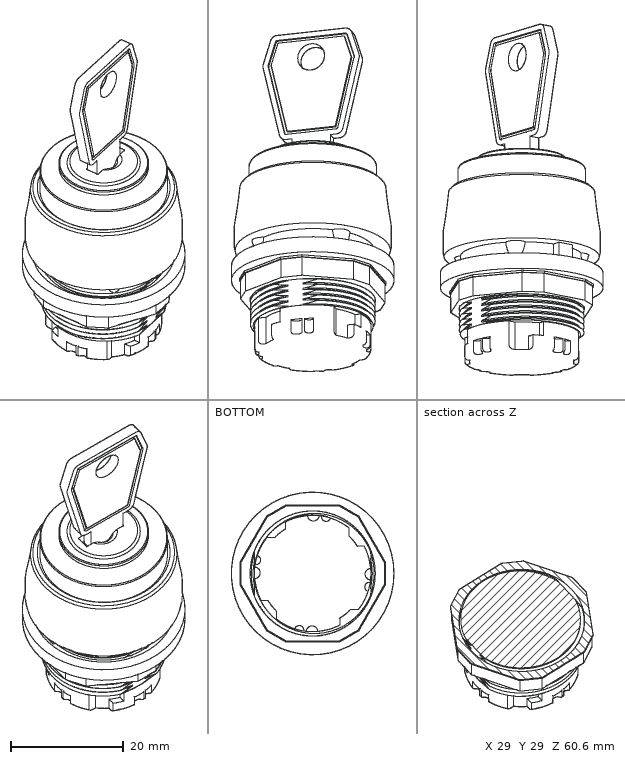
import cadquery as cq
import math

THREAD_BOTTOM = 5.05
HEX_BOTTOM = 9.75
HEX_COLLAR_BOTTOM = 13.2
FLANGE_BOTTOM = 13.6
THREAD_TOP = 15.15
NECK_BOTTOM = 16.05
FLANGE_TOP = 16.4
BEZEL_BOTTOM = 19.35
BEZEL_TOP = 31.6
KNOB_SHOULDER = 35.35
PLUG_TOP = 37.6
KEY_TOP = 60.6

BASE_DIAMETER = 20.7
BASE_FILLET = 0.65
RELIEF_DIAMETER = 21.2
NECK_DIAMETER = 21.9
BEZEL_DIAMETER = 28.0
BEZEL_BAND_TOP = 23.9
BEZEL_EDGE_HEIGHT = 0.8
BEZEL_EDGE_INSET = 0.2
BEZEL_MID_DIAMETER = 26.85
BEZEL_MID_HEIGHT = 27.65
BEZEL_RIM_DIAMETER = 26.05
BEZEL_RIM_CHAMFER = 0.4
BEZEL_LIP_DIAMETER = 23.65
KNOB_DIAMETER = 22.7
KNOB_EDGE_DIAMETER = 22.4
KNOB_EDGE_HEIGHT = 0.25
RING_DIAMETER = 16.0
RING_BOTTOM = 36.4
RING_TOP = 37.3
RING_CHAMFER = 0.2
PLUG_DIAMETER = 13.05
PLUG_FACE_DIAMETER = 12.05

THREAD_DIAMETER = 22.25
THREAD_TURNS = 10
THREAD_PITCH = (THREAD_TOP - THREAD_BOTTOM) / THREAD_TURNS
THREAD_ROOT_DIAMETER = 20.9
THREAD_RIDGE_WIDTH = 0.85
THREAD_ROOT_OVERLAP = 0.05

GUSSET_COUNT = 4
GUSSET_RADIUS = 1.95
GUSSET_TILT = 19
GUSSET_TIP = 16.25
LUG_REACH = 12.4
LUG_WIDTH = 3.05
LUG_BOTTOM = 16.7

SIDES = 4
SLOT_FLOOR_DIAMETER = 18.6
SLOT_WALL_Y = -6.4
SLOT_MOUTH_END_X = -4.85
SLOT_LEG_END_X = -3.05
STEP_HEIGHT = 2.5
SCOOP_SPANS = [(-0.9, 1.15), (1.6, 3.2)]

KEYHOLE_Y = 0.6
KEYHOLE_WIDTH = 2.5
KEYHOLE_LENGTH = 8.25
KEYHOLE_DEPTH = 1.8
DISH_DIAMETER = 5.8
DISH_EDGE_DIAMETER = 4.3
DISH_EDGE_DEPTH = 0.35
DISH_FLOOR_DIAMETER = 2.4

KEY_THICKNESS = 2.05
BOW_TOP_HALF = 7.3
BOW_WIDE_HALF = 9.05
BOW_WIDE_HEIGHT = 55.05
BOW_BOTTOM_HALF = 5.7
BOW_BOTTOM = 40.6
BOW_CORNER_RADIUS = 1.35
BLADE_WIDTH = 7.15
KEY_HOLE_DIAMETER = 5.0
KEY_HOLE_HEIGHT = 55.8
GROOVE_INSET = 1.0
GROOVE_WIDTH = 0.55
GROOVE_DEPTH = 0.4

FLANGE_DIAMETER = 29.0
RECESS_DIAMETER = 25.35
RECESS_DEPTH = 1.2
HEX_FLATS = 24.05
HEX_CORNER_FLATS = 25.5
HEX_COLLAR_STEP = 0.2
NUT_BORE_DIAMETER = 22.3


def cylinder(diameter, bottom, top):
    return cq.Workplane("XY").workplane(offset=bottom).circle(diameter / 2).extrude(top - bottom)


def turned_body():
    """Base, neck, bezel, knob, ring and lock plug as one turned profile."""
    base_r = BASE_DIAMETER / 2
    relief_r = RELIEF_DIAMETER / 2
    neck_r = NECK_DIAMETER / 2
    bezel_r = BEZEL_DIAMETER / 2
    rim_r = BEZEL_RIM_DIAMETER / 2
    lip_r = BEZEL_LIP_DIAMETER / 2
    knob_r = KNOB_DIAMETER / 2
    ring_r = RING_DIAMETER / 2
    plug_r = PLUG_DIAMETER / 2
    profile = (
        cq.Workplane("XZ")
        .moveTo(0, 0)
        .lineTo(base_r, 0)
        .lineTo(base_r, THREAD_TOP)
        .lineTo(relief_r, THREAD_TOP)
        .lineTo(relief_r, NECK_BOTTOM)
        .lineTo(neck_r, NECK_BOTTOM)
        .lineTo(neck_r, BEZEL_BOTTOM)
        .lineTo(bezel_r - BEZEL_EDGE_INSET, BEZEL_BOTTOM)
        .lineTo(bezel_r, BEZEL_BOTTOM + BEZEL_EDGE_HEIGHT)
        .lineTo(bezel_r, BEZEL_BAND_TOP)
        .threePointArc((BEZEL_MID_DIAMETER / 2, BEZEL_MID_HEIGHT), (rim_r, BEZEL_TOP - BEZEL_RIM_CHAMFER))
        .lineTo(rim_r - BEZEL_RIM_CHAMFER, BEZEL_TOP)
        .lineTo(lip_r, BEZEL_TOP)
        .lineTo(knob_r, BEZEL_TOP - (lip_r - knob_r))
        .lineTo(knob_r, KNOB_SHOULDER)
        .lineTo(KNOB_EDGE_DIAMETER / 2, KNOB_SHOULDER + KNOB_EDGE_HEIGHT)
        .lineTo(ring_r, RING_BOTTOM)
        .lineTo(ring_r, RING_TOP - RING_CHAMFER)
        .lineTo(ring_r - RING_CHAMFER, RING_TOP)
        .lineTo(plug_r, RING_TOP)
        .lineTo(PLUG_FACE_DIAMETER / 2, PLUG_TOP)
        .lineTo(0, PLUG_TOP)
        .close()
    )
    body = profile.revolve(360, (0, 0, 0), (0, 1, 0))
    return body.faces("<Z").edges().fillet(BASE_FILLET)


def thread():
    """Threaded sleeve around the base, flattened on both X sides to the base width."""
    root_r = THREAD_ROOT_DIAMETER / 2 - THREAD_ROOT_OVERLAP
    crest_r = THREAD_DIAMETER / 2
    half_ridge = THREAD_RIDGE_WIDTH / 2
    height = THREAD_TOP - THREAD_BOTTOM
    start = THREAD_BOTTOM - THREAD_PITCH
    helix = cq.Wire.makeHelix(THREAD_PITCH, height + 2 * THREAD_PITCH, root_r, center=cq.Vector(0, 0, start))
    ridge = (
        cq.Workplane("XZ")
        .polyline([(root_r, start - half_ridge), (crest_r, start), (root_r, start + half_ridge)])
        .close()
        .sweep(cq.Workplane(obj=helix), isFrenet=True)
    )
    band = cq.Workplane("XY").workplane(offset=THREAD_BOTTOM)
    band = band.rect(BASE_DIAMETER, 2 * THREAD_DIAMETER).extrude(height)
    core = cylinder(THREAD_ROOT_DIAMETER, THREAD_BOTTOM, THREAD_TOP)
    return core.union(ridge.intersect(band)).intersect(band)


def gussets():
    """Round gussets that lean out of the foot of the neck into the underside of the bezel."""
    tilt = math.radians(GUSSET_TILT)
    tip_reach = NECK_DIAMETER / 2 - GUSSET_RADIUS / math.cos(tilt)
    start_height = NECK_BOTTOM - GUSSET_RADIUS
    start_reach = tip_reach - (GUSSET_TIP - start_height) * math.tan(tilt)
    bars = cq.Workplane("XY")
    for index in range(GUSSET_COUNT):
        angle = math.radians(45 + index * 360 / GUSSET_COUNT)
        start = cq.Vector(start_reach * math.cos(angle), start_reach * math.sin(angle), start_height)
        lean = math.sin(tilt)
        axis = cq.Vector(lean * math.cos(angle), lean * math.sin(angle), math.cos(tilt))
        bars = bars.add(cq.Solid.makeCylinder(GUSSET_RADIUS, BEZEL_BAND_TOP - start_height, start, axis))
    neck_band = cylinder(BEZEL_DIAMETER, NECK_BOTTOM, BEZEL_BOTTOM)
    return bars.combine().intersect(neck_band)


def locating_lug():
    lug = cq.Workplane("XY").workplane(offset=LUG_BOTTOM).center(0, LUG_REACH / 2)
    return lug.rect(LUG_WIDTH, LUG_REACH).extrude(BEZEL_BOTTOM - LUG_BOTTOM)


def bayonet_slot():
    """L-shaped slot in the -Y side: open at the bottom, with a leg turning toward +X."""
    wall_x = -BASE_DIAMETER

    def block(end_x, bottom):
        size = (end_x - wall_x, BASE_DIAMETER, THREAD_BOTTOM - bottom)
        corner = (wall_x, SLOT_WALL_Y - BASE_DIAMETER, bottom)
        return cq.Workplane("XY").box(*size, centered=False).translate(corner)

    opening = block(SLOT_MOUTH_END_X, 0).union(block(SLOT_LEG_END_X, STEP_HEIGHT))
    return opening.cut(cylinder(SLOT_FLOOR_DIAMETER, 0, THREAD_BOTTOM))


def scoops():
    """Half-round vertical grooves in the -Y side of the base."""
    base_r = BASE_DIAMETER / 2
    grooves = cq.Workplane("XY")
    for start, end in SCOOP_SPANS:
        middle = (start + end) / 2
        grooves = grooves.moveTo(middle, -math.sqrt(base_r**2 - middle**2)).circle((end - start) / 2)
    return grooves.extrude(STEP_HEIGHT)


def keyhole():
    dish = (
        cq.Workplane("XZ")
        .moveTo(0, PLUG_TOP)
        .lineTo(DISH_DIAMETER / 2, PLUG_TOP)
        .lineTo(DISH_EDGE_DIAMETER / 2, PLUG_TOP - DISH_EDGE_DEPTH)
        .lineTo(DISH_FLOOR_DIAMETER / 2, PLUG_TOP - KEYHOLE_DEPTH)
        .lineTo(0, PLUG_TOP - KEYHOLE_DEPTH)
        .close()
        .revolve(360, (0, 0, 0), (0, 1, 0))
    )
    slot = cq.Workplane("XY").workplane(offset=PLUG_TOP - KEYHOLE_DEPTH)
    slot = slot.rect(KEYHOLE_WIDTH, KEYHOLE_LENGTH).extrude(KEYHOLE_DEPTH)
    return dish.union(slot).translate((0, KEYHOLE_Y, 0))


def bow_plate(inset, thickness):
    """Six-sided bow with rounded corners, shrunk by inset and centred on the YZ plane."""
    outline = [
        (BOW_TOP_HALF, KEY_TOP),
        (BOW_WIDE_HALF, BOW_WIDE_HEIGHT),
        (BOW_BOTTOM_HALF, BOW_BOTTOM),
        (-BOW_BOTTOM_HALF, BOW_BOTTOM),
        (-BOW_WIDE_HALF, BOW_WIDE_HEIGHT),
        (-BOW_TOP_HALF, KEY_TOP),
    ]
    plate = cq.Workplane("YZ").polyline(outline).close()
    if inset > 0:
        plate = plate.offset2D(-inset)
    plate = plate.extrude(thickness / 2, both=True)
    corner_radius = BOW_CORNER_RADIUS - inset
    if corner_radius > 0:
        plate = plate.edges("|X").fillet(corner_radius)
    return plate


def key():
    blade_bottom = PLUG_TOP - KEYHOLE_DEPTH
    blade = cq.Workplane("XY").workplane(offset=blade_bottom)
    blade = blade.rect(KEY_THICKNESS, BLADE_WIDTH).extrude(BOW_BOTTOM - blade_bottom)
    core = KEY_THICKNESS - 2 * GROOVE_DEPTH
    groove = bow_plate(GROOVE_INSET, KEY_THICKNESS).cut(
        bow_plate(GROOVE_INSET + GROOVE_WIDTH, KEY_THICKNESS)
    )
    groove = groove.cut(bow_plate(0, core))
    hole = cq.Workplane("YZ").center(0, KEY_HOLE_HEIGHT).circle(KEY_HOLE_DIAMETER / 2)
    hole = hole.extrude(KEY_THICKNESS, both=True)
    return bow_plate(0, KEY_THICKNESS).union(blade).cut(groove).cut(hole)


def make_head():
    """Key switch head with its key standing in the lock."""
    head = turned_body()
    for index in range(SIDES):
        angle = index * 360 / SIDES
        head = head.cut(bayonet_slot().union(scoops()).rotate((0, 0, 0), (0, 0, 1), angle))
    head = head.union(thread()).union(gussets()).union(locating_lug())
    return head.cut(keyhole()).union(key())


def truncated_hexagon(growth, bottom, top):
    """Hexagonal prism with flats toward X and all six corners cut flat."""
    flats = HEX_FLATS + 2 * growth
    corner_flats = HEX_CORNER_FLATS + 2 * growth
    plane = cq.Workplane("XY").workplane(offset=bottom)
    hexagon = plane.polygon(6, flats, circumscribed=True).extrude(top - bottom)
    corner_cut = plane.polygon(6, corner_flats, circumscribed=True).extrude(top - bottom)
    hexagon = hexagon.rotate((0, 0, 0), (0, 0, 1), 30)
    return hexagon.intersect(corner_cut)


def make_nut():
    """Flanged fixing nut, recessed around the neck of the head."""
    nut = cylinder(FLANGE_DIAMETER, FLANGE_BOTTOM, FLANGE_TOP)
    nut = nut.union(truncated_hexagon(0, HEX_BOTTOM, HEX_COLLAR_BOTTOM))
    nut = nut.union(truncated_hexagon(HEX_COLLAR_STEP, HEX_COLLAR_BOTTOM, FLANGE_BOTTOM))
    nut = nut.cut(cylinder(RECESS_DIAMETER, FLANGE_TOP - RECESS_DEPTH, FLANGE_TOP))
    return nut.cut(cylinder(NUT_BORE_DIAMETER, HEX_BOTTOM, FLANGE_TOP))


head = make_head()
nut = make_nut()
result = cq.Compound.makeCompound([head.val(), nut.val()])